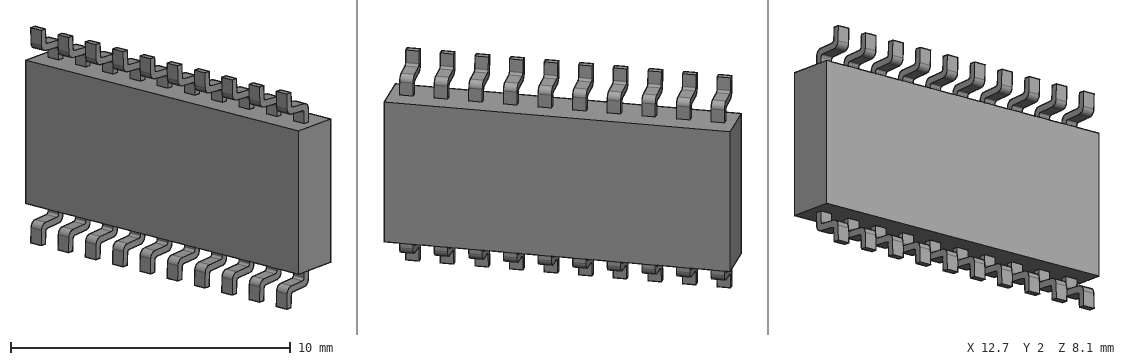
import cadquery as cq

body_length = 12.7
body_depth = 1.8
body_height = 5.4
overall_height = 8.1
overall_depth = 2.0

leads_per_row = 10
lead_pitch = 1.27
lead_width = 0.5
lead_thickness = 0.24
root_depth = 0.25

shelf_start = 0.5
shelf_drift = 0.05
foot_lean = 0.03
inner_radius = 0.1
outer_radius = 0.25

body_top = body_height / 2
lead_tip = overall_height / 2
foot_front = body_depth / 2 - overall_depth


def make_lead():
    """One upward lead in the YZ plane: stem, shelf towards -Y, then foot, centred on X = 0."""
    stem_front = -lead_thickness / 2
    stem_back = lead_thickness / 2
    heel_front = foot_front + foot_lean
    shelf_at_stem = body_top + shelf_start
    shelf_at_foot = shelf_at_stem + shelf_drift

    stem_inner_corner = (stem_front, shelf_at_stem)
    foot_outer_corner = (heel_front, shelf_at_foot)
    foot_inner_corner = (heel_front + lead_thickness, shelf_at_foot + lead_thickness)
    stem_outer_corner = (stem_back, shelf_at_stem + lead_thickness)
    outline = [
        (stem_front, body_top - root_depth),
        stem_inner_corner,
        foot_outer_corner,
        (foot_front, lead_tip),
        (foot_front + lead_thickness, lead_tip),
        foot_inner_corner,
        stem_outer_corner,
        (stem_back, body_top - root_depth),
    ]
    lead = cq.Workplane("YZ").polyline(outline).close().extrude(lead_width / 2, both=True)

    bends = [
        (stem_inner_corner, inner_radius),
        (foot_outer_corner, outer_radius),
        (foot_inner_corner, inner_radius),
        (stem_outer_corner, outer_radius),
    ]
    for (y, z), radius in bends:
        bend_edge = cq.selectors.NearestToPointSelector((0, y, z))
        lead = lead.edges("|X").edges(bend_edge).fillet(radius)
    return lead


result = cq.Workplane("XY").box(body_length, body_depth, body_height)

top_lead = make_lead()
bottom_lead = top_lead.mirror("XY")
first_lead_x = -lead_pitch * (leads_per_row - 1) / 2
for index in range(leads_per_row):
    offset = (first_lead_x + index * lead_pitch, 0, 0)
    result = result.union(top_lead.translate(offset))
    result = result.union(bottom_lead.translate(offset))